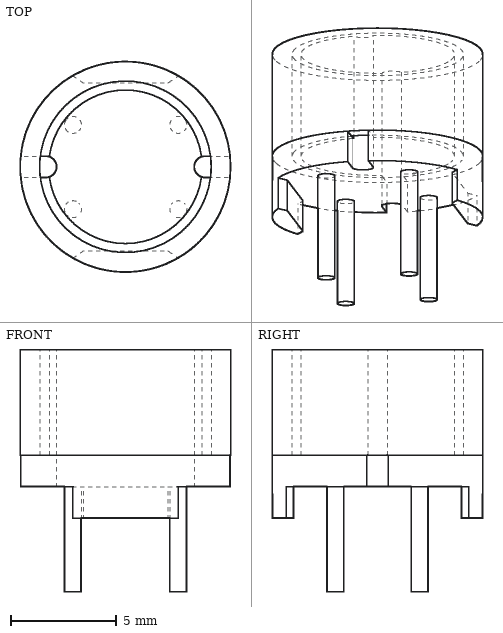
import cadquery as cq
import math

total_height = 11.5
outer_diameter = 10.0
outer_radius = outer_diameter / 2

pin_length = 5.0
sleeve_height = 5.0
plate_thickness = total_height - pin_length - sleeve_height
foot_height = plate_thickness

sleeve_bore_diameter = 8.14
core_diameter = 7.29

slot_width = 1.0
slot_end_center = 3.77

foot_inner_width = 4.0
foot_inner_distance = 3.98
foot_flare_angle = 35.0
foot_flare_reach = 1.0

pin_diameter = 0.8
pin_spacing_x = 5.0
pin_spacing_y = 4.0


def make_sleeve():
    """Plain tube resting on the base plate around the core."""
    return (
        cq.Workplane("XY", origin=(0, 0, plate_thickness))
        .circle(outer_radius)
        .circle(sleeve_bore_diameter / 2)
        .extrude(sleeve_height)
    )


def make_foot(side):
    """Rim segment below the plate with a flat inner face; side is -1 for -Y and +1 for +Y."""
    inner_half_width = foot_inner_width / 2
    flare_half_width = inner_half_width + foot_flare_reach
    flare_distance = foot_inner_distance + foot_flare_reach * math.tan(math.radians(foot_flare_angle))
    footprint = (
        cq.Workplane("XY", origin=(0, 0, -foot_height))
        .polyline([
            (-inner_half_width, side * foot_inner_distance),
            (inner_half_width, side * foot_inner_distance),
            (flare_half_width, side * flare_distance),
            (flare_half_width, side * outer_diameter),
            (-flare_half_width, side * outer_diameter),
            (-flare_half_width, side * flare_distance),
        ])
        .close()
        .extrude(foot_height)
    )
    rim = cq.Workplane("XY", origin=(0, 0, -foot_height)).circle(outer_radius).extrude(foot_height)
    return rim.intersect(footprint)


def make_slot_cutter(side):
    """Round-ended slot open to the rim; side is -1 for -X and +1 for +X."""
    cut_height = plate_thickness + sleeve_height
    half_width = slot_width / 2
    center = side * slot_end_center
    beyond_rim = side * outer_diameter
    return (
        cq.Workplane("XY")
        .moveTo(beyond_rim, -half_width)
        .lineTo(center, -half_width)
        .threePointArc((center - side * half_width, 0), (center, half_width))
        .lineTo(beyond_rim, half_width)
        .close()
        .extrude(cut_height)
    )


def make_pins():
    """Four round pins hanging from the underside of the plate."""
    return (
        cq.Workplane("XY")
        .rect(pin_spacing_x, pin_spacing_y, forConstruction=True)
        .vertices()
        .circle(pin_diameter / 2)
        .extrude(-pin_length)
    )


def make_base():
    """Base plate with its core, wire slots, feet and pins as one solid."""
    base = cq.Workplane("XY").circle(outer_radius).extrude(plate_thickness)
    core = cq.Workplane("XY").circle(core_diameter / 2).extrude(plate_thickness + sleeve_height)
    base = base.union(core)
    for side in (-1, 1):
        base = base.cut(make_slot_cutter(side))
        base = base.union(make_foot(side))
    return base.union(make_pins())


sleeve = make_sleeve()
base = make_base()

result = cq.Compound.makeCompound([sleeve.val(), base.solids().val()])